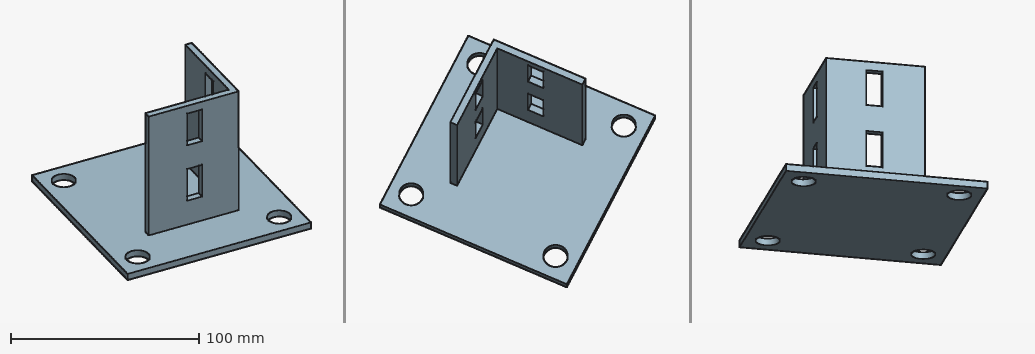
import cadquery as cq

plate_side = 110.0
overall_height = 79.0
thickness = 4.0
hole_diameter = 13.0
hole_edge_distance = 12.5

angle_side = 54.0
angle_edge_distance = 28.5

slot_width = 9.0
slot_height = 20.0
slot_top_margin = 5.0
slot_pitch = 35.0
slots_per_wall = 2

wall_height = overall_height - thickness
outer_face = plate_side / 2 - angle_edge_distance
wall_middle = outer_face - thickness / 2
angle_middle = outer_face - angle_side / 2
hole_spacing = plate_side - 2 * hole_edge_distance
top_slot_z = overall_height - slot_top_margin - slot_height / 2
cut_depth = 2 * thickness


def make_plate():
    """Square plate with a round hole near each corner."""
    return (
        cq.Workplane("XY")
        .box(plate_side, plate_side, thickness, centered=(True, True, False))
        .faces(">Z")
        .workplane()
        .rect(hole_spacing, hole_spacing, forConstruction=True)
        .vertices()
        .hole(hole_diameter)
    )


def block_at(size_x, size_y, size_z, center):
    return cq.Workplane("XY").box(size_x, size_y, size_z).translate(center)


def make_angle():
    """L-shaped upright with slots through both walls."""
    wall_z = thickness + wall_height / 2
    back_wall = block_at(angle_side, thickness, wall_height, (angle_middle, wall_middle, wall_z))
    side_wall = block_at(thickness, angle_side, wall_height, (wall_middle, angle_middle, wall_z))
    angle = back_wall.union(side_wall)
    for index in range(slots_per_wall):
        slot_z = top_slot_z - index * slot_pitch
        angle = angle.cut(block_at(slot_width, cut_depth, slot_height, (0, wall_middle, slot_z)))
        angle = angle.cut(block_at(cut_depth, slot_width, slot_height, (wall_middle, 0, slot_z)))
    return angle


result = make_plate().union(make_angle())